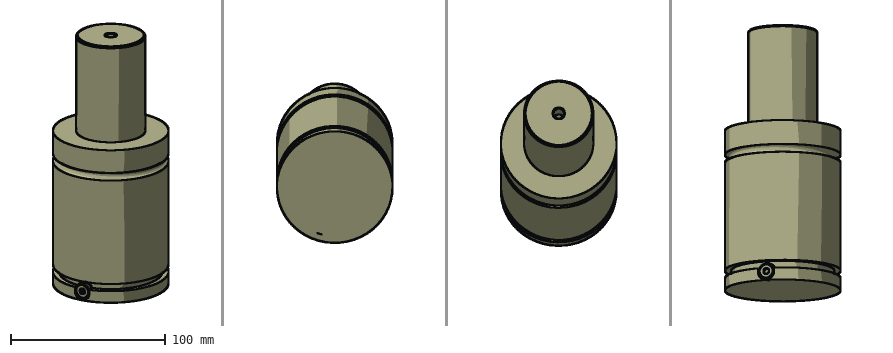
import cadquery as cq

body_diameter = 75.0
body_height = 105.2
body_radius = body_diameter / 2

flange_height = 8.0
base_groove_width = 5.0
base_groove_diameter = 67.0

round_groove_radius = 2.5
round_groove_height = 86.9

total_height = 171.0
rod_diameter = 45.0
rod_chamfer = 1.0

rod_hole_diameter = 6.8
rod_hole_depth = 13.7
rod_hole_mouth_diameter = 7.9
rod_hole_tip_length = 2.0

plug_height = 6.0
plug_diameter = 10.0
plug_chamfer = 0.5
plug_face_offset = 37.0
plug_pocket_diameter = 11.0
plug_pocket_floor_offset = 33.0
plug_socket_diameter = 3.8
plug_socket_depth = 2.0


def make_body():
    """Cylinder with its base groove and half-round groove."""
    groove_top = flange_height + base_groove_width
    groove_radius = base_groove_diameter / 2
    profile = (
        cq.Workplane("XZ")
        .lineTo(body_radius, 0)
        .lineTo(body_radius, flange_height)
        .lineTo(groove_radius, flange_height)
        .lineTo(groove_radius, groove_top)
        .lineTo(body_radius, groove_top)
        .lineTo(body_radius, round_groove_height - round_groove_radius)
        .threePointArc(
            (body_radius - round_groove_radius, round_groove_height),
            (body_radius, round_groove_height + round_groove_radius),
        )
        .lineTo(body_radius, body_height)
        .lineTo(0, body_height)
        .close()
    )
    return profile.revolve(360, (0, 0, 0), (0, 1, 0))


def make_rod():
    """Piston rod with a chamfered end."""
    rod = cq.Workplane("XY").workplane(offset=body_height).circle(rod_diameter / 2)
    return rod.extrude(total_height - body_height).faces(">Z").chamfer(rod_chamfer)


def make_rod_hole():
    """Cutter for the countersunk blind hole with its conical drill tip."""
    hole_radius = rod_hole_diameter / 2
    mouth_radius = rod_hole_mouth_diameter / 2
    countersink_depth = mouth_radius - hole_radius
    profile = (
        cq.Workplane("XZ", origin=(0, 0, total_height))
        .lineTo(mouth_radius, 0)
        .lineTo(hole_radius, -countersink_depth)
        .lineTo(hole_radius, -rod_hole_depth)
        .lineTo(0, -rod_hole_depth - rod_hole_tip_length)
        .close()
    )
    return profile.revolve(360, (0, 0, 0), (0, 1, 0))


def cylinder_along_y(diameter, inner_offset, outer_offset):
    """Cylinder at plug height between two distances from the axis on the -Y side."""
    start = cq.Workplane("XZ", origin=(0, -inner_offset, plug_height))
    return start.circle(diameter / 2).extrude(outer_offset - inner_offset)


def add_valve_plug(part):
    """Cut the plug pocket, then set the chamfered plug and its socket in it."""
    pocket = cylinder_along_y(plug_pocket_diameter, plug_pocket_floor_offset, body_radius)
    plug_root = plug_pocket_floor_offset - (body_radius - plug_pocket_floor_offset) / 2
    plug = cylinder_along_y(plug_diameter, plug_root, plug_face_offset)
    plug = plug.faces("<Y").chamfer(plug_chamfer)
    socket_floor = plug_face_offset - plug_socket_depth
    socket = cylinder_along_y(plug_socket_diameter, socket_floor, plug_face_offset)
    return part.cut(pocket).union(plug).cut(socket)


cylinder = make_body().union(make_rod()).cut(make_rod_hole())
result = add_valve_plug(cylinder)